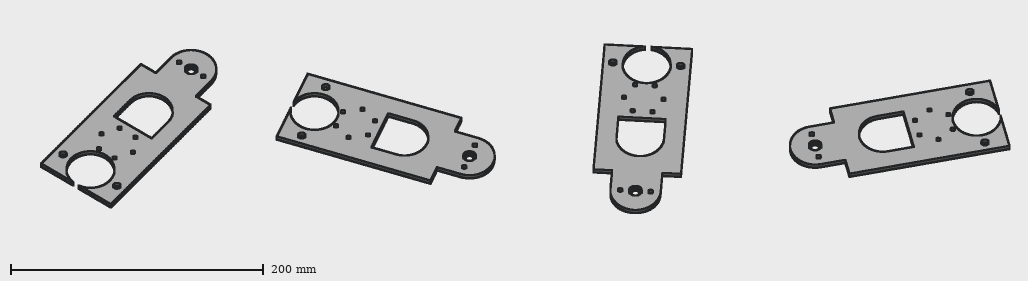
import cadquery as cq

total_length = 170.0
plate_width = 69.5
thickness = 4.0
tab_width = 40.0
tab_radius = tab_width / 2
tab_center_y = total_length - tab_radius
shoulder_y = total_length - tab_width

window_width = 37.5
window_bottom_y = 74.1
window_top_y = 113.9
window_spring_y = window_top_y - window_width / 2

opening_diameter = 38.0
opening_center_y = 18.9

bore_diameter = 7.0
counterbore_diameter = 10.0
counterbore_depth = thickness / 2
tab_hole_diameter = 3.5
tab_hole_spacing = 24.1

ring_hole_diameter = 3.2
ring_hole_count = 6
ring_radius = 15.6
ring_center_y = 53.5

mount_hole_diameter = 6.0
mount_hole_spacing = 53.7
mount_hole_y = 18.2


def arched_panel(width, bottom_y, spring_y):
    """Upright panel with a semicircular top, through the full thickness."""
    half_width = width / 2
    return (
        cq.Workplane("XY")
        .moveTo(-half_width, bottom_y)
        .lineTo(half_width, bottom_y)
        .lineTo(half_width, spring_y)
        .threePointArc((0, spring_y + half_width), (-half_width, spring_y))
        .close()
        .extrude(thickness)
    )


def hole_pair(diameter, spacing, center_y):
    """Two through-hole cutters placed symmetrically about the Y axis."""
    return (
        cq.Workplane("XY")
        .pushPoints([(-spacing / 2, center_y), (spacing / 2, center_y)])
        .circle(diameter / 2)
        .extrude(thickness)
    )


plate = cq.Workplane("XY").rect(plate_width, shoulder_y).extrude(thickness).translate((0, shoulder_y / 2, 0))
plate = plate.union(arched_panel(tab_width, shoulder_y, tab_center_y))

plate = plate.cut(arched_panel(window_width, window_bottom_y, window_spring_y))
opening = cq.Workplane("XY").center(0, opening_center_y).circle(opening_diameter / 2).extrude(thickness)
plate = plate.cut(opening)

plate = (
    plate.faces(">Z")
    .workplane(origin=(0, tab_center_y, thickness))
    .cboreHole(bore_diameter, counterbore_diameter, counterbore_depth)
)

plate = plate.cut(hole_pair(tab_hole_diameter, tab_hole_spacing, tab_center_y))
plate = plate.cut(hole_pair(mount_hole_diameter, mount_hole_spacing, mount_hole_y))
ring_holes = (
    cq.Workplane("XY")
    .center(0, ring_center_y)
    .polarArray(ring_radius, 0, 360, ring_hole_count)
    .circle(ring_hole_diameter / 2)
    .extrude(thickness)
)
result = plate.cut(ring_holes)